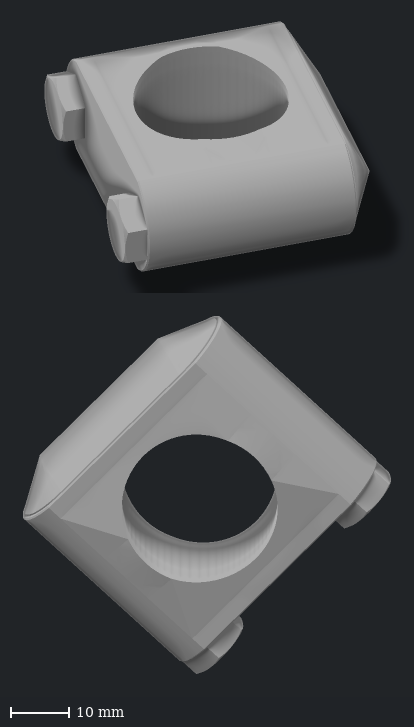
import cadquery as cq
import math


body_width = 49.0
body_depth = 37.25
body_height = 18.95
flat_half_width = 18.1
shoulder_width = 0.2
shoulder_drop = 0.1
edge_chamfer = 0.25
bore_diameter = 26.65

overall_height = 22.85
pad_base_half_depth = 15.65
pad_crest_half_depth = 5.15

ridge_height = 5.3
ridge_foot = 0.25
ridge_half_length = 14.55
ridge_base_radius = 9.15

bolt_spacing = 36.45
head_across_flats = 11.1
head_face_diameter = 10.9
head_thickness = 3.95
head_chamfer_angle = 30.0

front_y = -body_depth / 2
back_y = body_depth / 2
top_z = body_height / 2
shoulder_x = flat_half_width + shoulder_width
shoulder_z = top_z - shoulder_drop
pad_height = (overall_height - body_height) / 2
bore_radius = bore_diameter / 2
pad_crest_half_width = math.sqrt(bore_radius**2 - pad_crest_half_depth**2)


def clamp_body():
    """Flat slab along Y with arched sides and lightly chamfered end faces."""
    return (
        cq.Workplane("XZ", origin=(0, back_y, 0))
        .moveTo(-flat_half_width, top_z)
        .lineTo(flat_half_width, top_z)
        .lineTo(shoulder_x, shoulder_z)
        .threePointArc((body_width / 2, 0), (shoulder_x, -shoulder_z))
        .lineTo(flat_half_width, -top_z)
        .lineTo(-flat_half_width, -top_z)
        .lineTo(-shoulder_x, -shoulder_z)
        .threePointArc((-body_width / 2, 0), (-shoulder_x, shoulder_z))
        .close()
        .extrude(body_depth)
        .faces("<Y or >Y")
        .chamfer(edge_chamfer)
    )


def top_pad():
    """Pad sloping up from the flat top to a crest on the edge of the bore."""
    hip = (
        cq.Workplane("XY", origin=(0, 0, top_z))
        .rect(2 * flat_half_width, 2 * pad_base_half_depth)
        .workplane(offset=pad_height)
        .rect(2 * pad_crest_half_width, 2 * pad_crest_half_depth)
        .loft(ruled=True)
    )
    middle = (
        cq.Workplane("XY", origin=(0, 0, top_z))
        .polyline([
            (-flat_half_width, -pad_crest_half_depth),
            (flat_half_width, -pad_crest_half_depth),
            (flat_half_width, 0),
            (flat_half_width, pad_crest_half_depth),
            (-flat_half_width, pad_crest_half_depth),
            (-flat_half_width, 0),
        ])
        .close()
        .workplane(offset=pad_height)
        .moveTo(-pad_crest_half_width, -pad_crest_half_depth)
        .lineTo(pad_crest_half_width, -pad_crest_half_depth)
        .radiusArc((bore_radius, 0), -bore_radius)
        .radiusArc((pad_crest_half_width, pad_crest_half_depth), -bore_radius)
        .lineTo(-pad_crest_half_width, pad_crest_half_depth)
        .radiusArc((-bore_radius, 0), -bore_radius)
        .radiusArc((-pad_crest_half_width, -pad_crest_half_depth), -bore_radius)
        .close()
        .loft(ruled=True)
    )
    return hip.union(middle)


def back_ridge():
    """Roof-shaped ridge along X on an upright foot, rounded to a cone at both ends."""
    foot_y = back_y + ridge_foot
    ridge = (
        cq.Workplane("YZ", origin=(-ridge_half_length, 0, 0))
        .polyline([
            (back_y, -ridge_base_radius),
            (foot_y, -ridge_base_radius),
            (back_y + ridge_height, 0),
            (foot_y, ridge_base_radius),
            (back_y, ridge_base_radius),
        ])
        .close()
        .extrude(2 * ridge_half_length)
    )
    for tip_x in (-ridge_half_length, ridge_half_length):
        round_end = (
            cq.Workplane("XY", origin=(tip_x, back_y, 0))
            .polyline([
                (0, 0),
                (ridge_base_radius, 0),
                (ridge_base_radius, ridge_foot),
                (0, ridge_height),
            ])
            .close()
            .revolve(360, (0, 0, 0), (0, 1, 0))
        )
        ridge = ridge.union(round_end)
    return ridge


def bolt_head(center_x):
    """Hexagon head, points up and down, with its outer corners turned off at an angle."""
    corner_radius = head_across_flats / math.sqrt(3)
    face_radius = head_face_diameter / 2
    corner_drop = (corner_radius - face_radius) * math.tan(math.radians(head_chamfer_angle))
    hexagon = (
        cq.Workplane("XZ", origin=(center_x, front_y, 0))
        .transformed(rotate=(0, 0, 90))
        .polygon(6, 2 * corner_radius)
        .extrude(head_thickness)
    )
    turned_blank = (
        cq.Workplane("XY")
        .polyline([
            (0, 0),
            (corner_radius, 0),
            (corner_radius, -(head_thickness - corner_drop)),
            (face_radius, -head_thickness),
            (0, -head_thickness),
        ])
        .close()
        .revolve(360, (0, 0, 0), (0, 1, 0))
        .translate((center_x, front_y, 0))
    )
    return hexagon.intersect(turned_blank)


pad = top_pad()
result = clamp_body().union(pad).union(pad.mirror("XY")).union(back_ridge())
for side in (-1, 1):
    result = result.union(bolt_head(side * bolt_spacing / 2))
bore = cq.Workplane("XY", origin=(0, 0, -overall_height / 2)).circle(bore_radius).extrude(overall_height)
result = result.cut(bore)